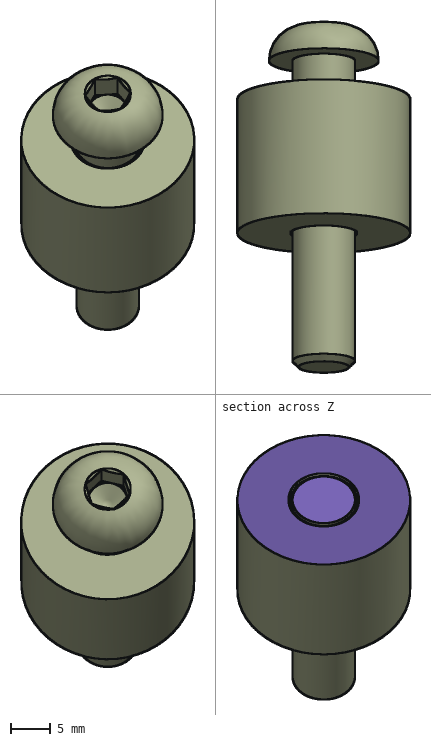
import cadquery as cq
import math

TOTAL_HEIGHT = 44.4
HEAD_HEIGHT = 4.4
SHANK_LENGTH = TOTAL_HEIGHT - HEAD_HEIGHT

SHANK_DIAMETER = 8.0
HEAD_DIAMETER = 14.0
TIP_CHAMFER_HEIGHT = 0.8
TIP_CHAMFER_WIDTH = 0.8

SOCKET_ACROSS_FLATS = 5.0
SOCKET_DEPTH = 3.37
SOCKET_ANGLE = 45.0
SOCKET_MOUTH_DIAMETER = 5.85
MOUTH_CONE_ANGLE = 30.0
FLOOR_CONE_ANGLE = 30.0

SPACER_DIAMETER = 22.0
SPACER_HEIGHT = 17.5
SPACER_BORE_DIAMETER = 8.5
BORE_CHAMFER = 0.5
SPACER_BASE_Z = 17.5


def cone_down(diameter, depth):
    """Cone pointing down, with its wide end at the top of the head."""
    return cq.Solid.makeCone(diameter / 2, 0, depth, cq.Vector(0, 0, TOTAL_HEIGHT), cq.Vector(0, 0, -1))


def make_screw_blank():
    """Shank with chamfered tip and domed head, revolved about Z."""
    shank_radius = SHANK_DIAMETER / 2
    head_radius = HEAD_DIAMETER / 2
    mouth_radius = SOCKET_MOUTH_DIAMETER / 2
    run = head_radius - mouth_radius
    dome_radius = (HEAD_HEIGHT**2 + run**2) / (2 * run)
    dome_center = head_radius - dome_radius
    half_sweep = math.atan2(HEAD_HEIGHT, mouth_radius - dome_center) / 2
    dome_middle = (
        dome_center + dome_radius * math.cos(half_sweep),
        SHANK_LENGTH + dome_radius * math.sin(half_sweep),
    )
    return (
        cq.Workplane("XZ")
        .moveTo(0, 0)
        .lineTo(shank_radius - TIP_CHAMFER_WIDTH, 0)
        .lineTo(shank_radius, TIP_CHAMFER_HEIGHT)
        .lineTo(shank_radius, SHANK_LENGTH)
        .lineTo(head_radius, SHANK_LENGTH)
        .threePointArc(dome_middle, (mouth_radius, TOTAL_HEIGHT))
        .lineTo(0, TOTAL_HEIGHT)
        .close()
        .revolve(360, (0, 0), (0, 1))
    )


def make_socket():
    """Hexagon recess with a conical mouth and a conical floor."""
    across_corners = SOCKET_ACROSS_FLATS / math.cos(math.pi / 6)
    hexagon = (
        cq.Workplane("XY", origin=(0, 0, TOTAL_HEIGHT))
        .transformed(rotate=(0, 0, SOCKET_ANGLE))
        .polygon(6, across_corners)
        .extrude(-SOCKET_DEPTH)
    )
    mouth_depth = SOCKET_MOUTH_DIAMETER / 2 * math.tan(math.radians(MOUTH_CONE_ANGLE))
    mouth = cone_down(SOCKET_MOUTH_DIAMETER, mouth_depth)
    floor_depth = SOCKET_ACROSS_FLATS / 2 * math.tan(math.radians(FLOOR_CONE_ANGLE))
    floor = cone_down(SOCKET_ACROSS_FLATS, floor_depth).translate(cq.Vector(0, 0, -SOCKET_DEPTH))
    return hexagon.union(cq.Workplane(mouth)).union(cq.Workplane(floor))


def make_screw():
    return make_screw_blank().cut(make_socket())


def make_spacer():
    """Sleeve with a clearance bore around the shank, chamfered at the upper end."""
    return (
        cq.Workplane("XY", origin=(0, 0, SPACER_BASE_Z))
        .circle(SPACER_DIAMETER / 2)
        .circle(SPACER_BORE_DIAMETER / 2)
        .extrude(SPACER_HEIGHT)
        .faces(">Z")
        .edges(cq.selectors.RadiusNthSelector(0))
        .chamfer(BORE_CHAMFER)
    )


screw = make_screw()
spacer = make_spacer()
result = cq.Compound.makeCompound([screw.val(), spacer.val()])